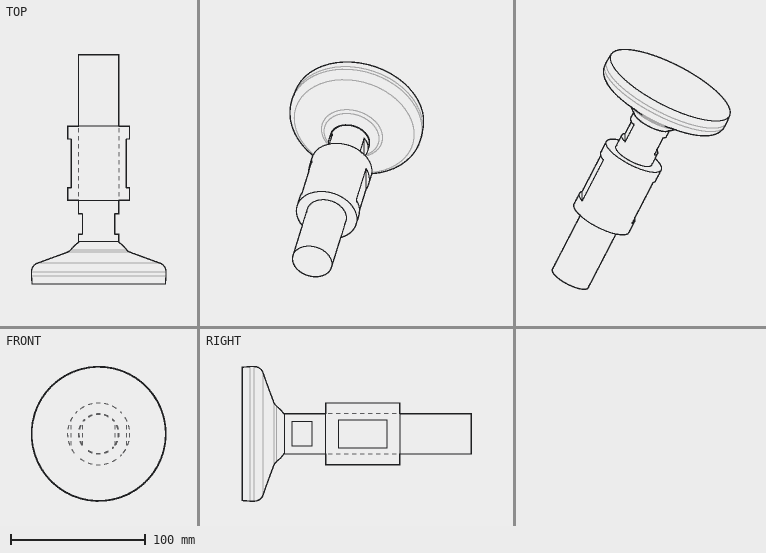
import cadquery as cq
import math


spindle_start = 31.4
spindle_flat_start = 37.0
sleeve_start = 62.0
total_length = 170.0

foot_radius = 50.0
base_radius = 49.5
taper_height = 6.0
rim_height = 9.0
rim_round_radius = 7.0
cone_angle = math.radians(20.0)

neck_ball_radius = 26.0
neck_top_radius = 14.5
neck_fillet_radius = 5.0

spindle_radius = 15.0
spindle_flat_width = 24.0
spindle_flat_length = 15.0

sleeve_radius = 23.0
sleeve_length = 55.0
sleeve_flat_width = 41.0
sleeve_flat_length = 36.0
sleeve_flat_start = sleeve_start + (sleeve_length - sleeve_flat_length) / 2


def cylinder(radius, start, end):
    """Solid cylinder on the Y axis from start to end."""
    return cq.Workplane("XZ", origin=(0, start, 0)).circle(radius).extrude(start - end)


def cut_wrench_flats(body, body_radius, across_flats, start, length):
    """Mill two opposite flats, facing -X and +X, into a round body."""
    depth = body_radius - across_flats / 2
    middle = start + length / 2
    for side in (-1, 1):
        centre_x = side * (across_flats + depth) / 2
        cutter = cq.Workplane("XY", origin=(centre_x, middle, 0)).box(depth, length, 2 * body_radius)
        body = body.cut(cutter)
    return body


def make_foot():
    """Revolved foot plate: tapered edge, rounded rim, conical top and domed neck."""
    round_centre_x = foot_radius - rim_round_radius

    def rim_point(angle):
        return (
            round_centre_x + rim_round_radius * math.cos(angle),
            rim_height + rim_round_radius * math.sin(angle),
        )

    round_end_angle = math.pi / 2 - cone_angle
    cone_start = rim_point(round_end_angle)

    ball_centre_y = spindle_start - math.sqrt(neck_ball_radius**2 - neck_top_radius**2)

    def ball_point(angle):
        return (
            neck_ball_radius * math.cos(angle),
            ball_centre_y + neck_ball_radius * math.sin(angle),
        )

    cone_apex_y = cone_start[1] + cone_start[0] * math.tan(cone_angle)
    cone_distance = (cone_apex_y - ball_centre_y) * math.cos(cone_angle)
    neck_start_angle = round_end_angle - math.acos(cone_distance / neck_ball_radius)
    neck_end_angle = math.acos(neck_top_radius / neck_ball_radius)
    neck_middle_angle = (neck_start_angle + neck_end_angle) / 2
    neck_start = ball_point(neck_start_angle)

    profile = (
        cq.Workplane("XY")
        .moveTo(0, 0)
        .lineTo(base_radius, 0)
        .lineTo(foot_radius, taper_height)
        .lineTo(foot_radius, rim_height)
        .threePointArc(rim_point(round_end_angle / 2), cone_start)
        .lineTo(*neck_start)
        .threePointArc(ball_point(neck_middle_angle), (neck_top_radius, spindle_start))
        .lineTo(0, spindle_start)
        .close()
    )
    plate = profile.revolve(360, (0, 0, 0), (0, 1, 0))
    neck_corner = cq.selectors.NearestToPointSelector((0, neck_start[1], 0))
    return plate.edges("%CIRCLE").edges(neck_corner).fillet(neck_fillet_radius)


def make_foot_spindle():
    """Foot plate and spindle as one body."""
    spindle = cylinder(spindle_radius, spindle_start, total_length)
    spindle = cut_wrench_flats(
        spindle, spindle_radius, spindle_flat_width, spindle_flat_start, spindle_flat_length
    )
    return make_foot().union(spindle).solids()


def make_sleeve():
    """Round sleeve with wrench flats, bored to fit the spindle."""
    sleeve_end = sleeve_start + sleeve_length
    sleeve = cylinder(sleeve_radius, sleeve_start, sleeve_end)
    sleeve = cut_wrench_flats(
        sleeve, sleeve_radius, sleeve_flat_width, sleeve_flat_start, sleeve_flat_length
    )
    return sleeve.cut(cylinder(spindle_radius, sleeve_start, sleeve_end)).solids()


foot_spindle = make_foot_spindle()
sleeve = make_sleeve()

result = cq.Compound.makeCompound([foot_spindle.val(), sleeve.val()])